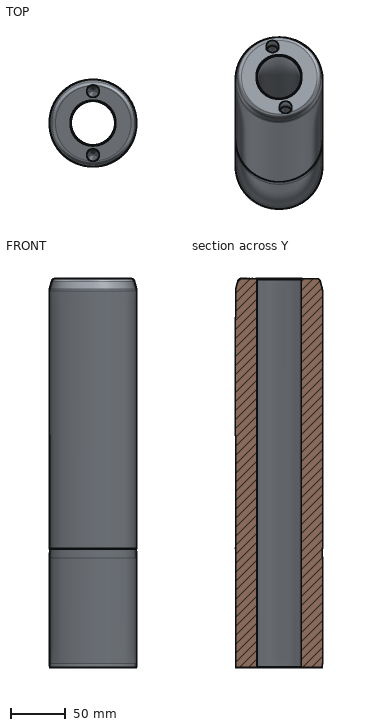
import cadquery as cq
import math

length = 355.0
outer_diameter = 80.0
outer_radius = outer_diameter / 2
bore_radius = 20.0
bore_chamfer = 1.0

lead_height = 10.3
lead_angle = math.radians(15)
nose_fillet = 3.5
blend_fillet = 8.0

relief_top = 109.0
relief_bottom = 100.0
relief_depth = 0.5
relief_step_height = 1.0

foot_height = 4.0
foot_inset = 0.5

pin_hole_radius = 5.7
pin_hole_offset = 29.0
pin_hole_depth = 21.3
drill_half_angle = math.radians(59)


def sleeve_body():
    """Revolve the outer profile, then round the two edges of the lead-in."""
    lead_start = length - lead_height
    nose_radius = outer_radius - lead_height * math.tan(lead_angle)
    relief_radius = outer_radius - relief_depth
    body = (
        cq.Workplane("XZ")
        .lineTo(outer_radius - foot_inset, 0)
        .lineTo(outer_radius, foot_height)
        .lineTo(outer_radius, relief_bottom)
        .lineTo(relief_radius, relief_top - relief_step_height)
        .lineTo(outer_radius, relief_top)
        .lineTo(outer_radius, lead_start)
        .lineTo(nose_radius, length)
        .lineTo(0, length)
        .close()
        .revolve(360, (0, 0), (0, 1))
    )
    body = body.faces(">Z").edges().fillet(nose_fillet)
    corner_margin = blend_fillet / 10
    corner = cq.selectors.BoxSelector(
        (-length, -length, lead_start - corner_margin),
        (length, length, lead_start + corner_margin),
        boundingbox=True,
    )
    return body.edges(corner).fillet(blend_fillet)


def bore():
    """Through bore, chamfered at both ends."""
    mouth_radius = bore_radius + bore_chamfer
    return (
        cq.Workplane("XZ")
        .lineTo(mouth_radius, 0)
        .lineTo(bore_radius, bore_chamfer)
        .lineTo(bore_radius, length - bore_chamfer)
        .lineTo(mouth_radius, length)
        .lineTo(0, length)
        .close()
        .revolve(360, (0, 0), (0, 1))
    )


def pin_hole(y):
    """Blind hole with a conical drill point, opening in the top face."""
    shoulder = length - pin_hole_depth
    tip = shoulder - pin_hole_radius / math.tan(drill_half_angle)
    return (
        cq.Workplane("XZ")
        .moveTo(0, tip)
        .lineTo(pin_hole_radius, shoulder)
        .lineTo(pin_hole_radius, length)
        .lineTo(0, length)
        .close()
        .revolve(360, (0, 0), (0, 1))
        .translate((0, y, 0))
    )


result = sleeve_body().cut(bore())
for side in (-1, 1):
    result = result.cut(pin_hole(side * pin_hole_offset))